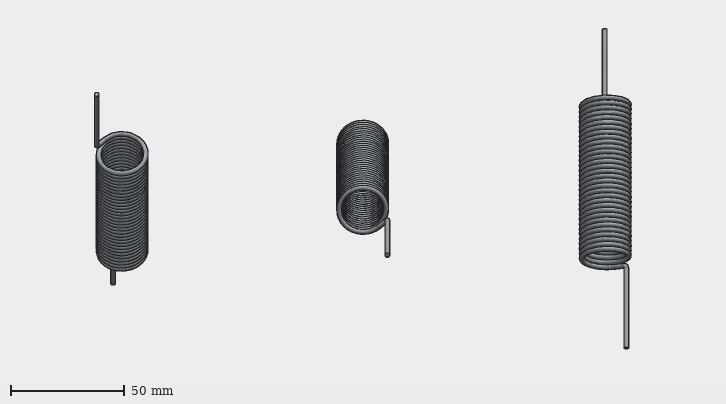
import cadquery as cq
import math

overall_length = 150.8
wire_radius = 1.09
coil_radius = 10.4
turns = 32
coil_rise = 73.1
leg_offset = 5.3
bend_radius = 1.2

pitch = coil_rise / turns
rise_angle = math.atan2(pitch, 2 * math.pi * coil_radius)

turn_angle = math.pi / 2 - rise_angle
bend_setback = bend_radius * math.tan(turn_angle / 2)


def tail_point(distance):
    """Point on the top tail line, measured along Y from where the coil ends."""
    return cq.Vector(-coil_radius, -distance, coil_rise / 2 + distance * math.tan(rise_angle))


def top_end_edges():
    """Straight tail, bend and upright leg, in order from the coil to the tip."""
    coil_end = tail_point(0)
    bend_start = tail_point(leg_offset - bend_setback * math.cos(rise_angle))
    corner = tail_point(leg_offset)
    bend_end = corner + cq.Vector(0, 0, bend_setback)
    leg_tip = cq.Vector(corner.x, corner.y, overall_length / 2)
    return [
        cq.Edge.makeLine(coil_end, bend_start),
        cq.Edge.makeTangentArc(bend_start, corner - coil_end, bend_end),
        cq.Edge.makeLine(bend_end, leg_tip),
    ]


def coil_wire():
    """Right-handed helix that starts and ends on the -X side."""
    helix = cq.Wire.makeHelix(pitch, coil_rise, coil_radius)
    helix = helix.rotate(cq.Vector(0, 0, 0), cq.Vector(0, 0, 1), 180)
    return helix.translate(cq.Vector(0, 0, -coil_rise / 2))


def sweep_wire(path, start, direction):
    """Round wire swept along a path from its start point."""
    section = cq.Workplane(cq.Plane(origin=start, normal=direction)).circle(wire_radius)
    return section.sweep(cq.Workplane(path), isFrenet=True)


top_path = cq.Wire.assembleEdges(top_end_edges())
tail_direction = tail_point(leg_offset) - tail_point(0)
top_end = sweep_wire(top_path, tail_point(0), tail_direction)

bottom_end = top_end.rotate((0, 0, 0), (1, 0, 0), 180)

coil_start = cq.Vector(-coil_radius, 0, -coil_rise / 2)
coil = sweep_wire(coil_wire(), coil_start, tail_direction)

result = coil.union(top_end).union(bottom_end)